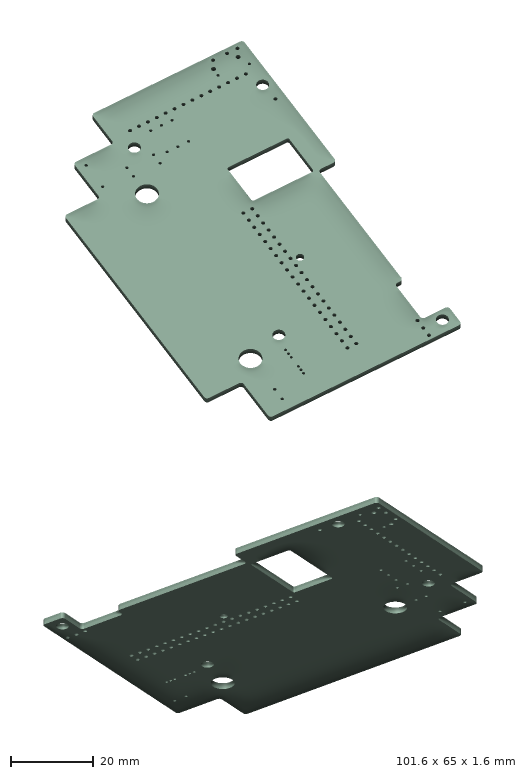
import cadquery as cq

length = 101.6
width = 65.0
thickness = 1.6

left_edge_bottom = 21.8
left_step_x = 10.4
lower_shelf_y = 10.3
tail_left_x = 22.9
tail_right_x = 88.7
upper_left_tab_right_x = 43.4
middle_edge_y = 59.8
notch_left_x = 82.7
notch_floor_y = 57.5
right_tab_left_x = 95.3
corner_radius = 0.8

window_left_x = 31.2
window_right_x = 43.1
window_bottom_y = 41.2
window_top_y = 58.8
window_radius = 0.5

fine_pin = 0.75
small_pin = 0.8
header_pin = 1.0
wide_pin = 1.2
locator = 2.0
screw = 3.1
large = 5.8

pitch = 2.5

double_row_start_x = 45.0
double_row_bottom_y = 37.5
double_row_count = 20

column_x = 9.1
column_bottom_y = 27.2
column_count = 14

tab_row_start_x = 95.1
tab_row_y = 56.4
tab_row_pitch = 2.6
tab_row_count = 3

fine_row_y = 24.4
fine_row_count = 3
left_fine_start_x = 86.0
left_fine_pitch = 1.3
right_fine_start_x = 91.8
right_fine_pitch = 1.2

screw_centres = [(14.1, 62.0), (98.0, 61.7), (14.1, 25.4), (81.2, 25.4)]
large_centres = [(27.7, 20.6), (83.7, 15.7)]
locator_centres = [(63.7, 42.2)]

connector_post_centres = [(3.8, 54.4), (3.8, 61.4)]
connector_edge_centres = [(1.4, 55.7), (1.4, 59.6), (1.4, 62.6)]
connector_inner_centres = [(6.0, 54.3), (7.0, 62.6)]

lone_pin_centres = [(19.4, 62.4)]

six_lead_xs = [11.8, 19.4]
six_lead_ys = [31.5, 34.5, 37.6]
four_lead_xs = [18.4, 21.4]
four_lead_ys = [20.6, 28.2]
left_pair_xs = [12.6, 20.2]
left_pair_ys = [12.6]
right_pair_xs = [94.8, 98.2]
right_pair_ys = [15.8]


def row(start_x, y, spacing, count):
    """Centres of evenly spaced holes along X."""
    return [(start_x + i * spacing, y) for i in range(count)]


def column(x, start_y, spacing, count):
    """Centres of evenly spaced holes along Y."""
    return [(x, start_y + i * spacing) for i in range(count)]


def grid(xs, ys):
    """Centres at every crossing of the given X and Y places."""
    return [(x, y) for x in xs for y in ys]


def make_plate():
    """Stepped board outline with every corner rounded."""
    outline = [
        (tail_left_x, 0),
        (tail_right_x, 0),
        (tail_right_x, lower_shelf_y),
        (length, lower_shelf_y),
        (length, width),
        (right_tab_left_x, width),
        (right_tab_left_x, notch_floor_y),
        (notch_left_x, notch_floor_y),
        (notch_left_x, middle_edge_y),
        (upper_left_tab_right_x, middle_edge_y),
        (upper_left_tab_right_x, width),
        (0, width),
        (0, left_edge_bottom),
        (left_step_x, left_edge_bottom),
        (left_step_x, lower_shelf_y),
        (tail_left_x, lower_shelf_y),
    ]
    plate = cq.Workplane("XY").polyline(outline).close().extrude(thickness)
    return plate.edges("|Z").fillet(corner_radius)


def make_window():
    """Rounded rectangular cutter for the window."""
    window_length = window_right_x - window_left_x
    window_width = window_top_y - window_bottom_y
    return (
        cq.Workplane("XY")
        .rect(window_length, window_width, centered=False)
        .extrude(thickness)
        .translate((window_left_x, window_bottom_y, 0))
        .edges("|Z")
        .fillet(window_radius)
    )


def make_holes(diameter, centres):
    """Round cutters of one diameter through the board."""
    return cq.Workplane("XY").pushPoints(centres).circle(diameter / 2).extrude(thickness)


double_row_top_y = double_row_bottom_y + pitch

hole_groups = [
    (screw, screw_centres),
    (large, large_centres),
    (locator, locator_centres),
    (header_pin, row(double_row_start_x, double_row_bottom_y, pitch, double_row_count)),
    (header_pin, row(double_row_start_x, double_row_top_y, pitch, double_row_count)),
    (header_pin, column(column_x, column_bottom_y, pitch, column_count)),
    (header_pin, row(tab_row_start_x, tab_row_y, tab_row_pitch, tab_row_count)),
    (header_pin, lone_pin_centres),
    (wide_pin, connector_post_centres),
    (header_pin, connector_edge_centres),
    (small_pin, connector_inner_centres),
    (small_pin, grid(six_lead_xs, six_lead_ys)),
    (small_pin, grid(four_lead_xs, four_lead_ys)),
    (small_pin, grid(left_pair_xs, left_pair_ys)),
    (small_pin, grid(right_pair_xs, right_pair_ys)),
    (fine_pin, row(left_fine_start_x, fine_row_y, left_fine_pitch, fine_row_count)),
    (fine_pin, row(right_fine_start_x, fine_row_y, right_fine_pitch, fine_row_count)),
]

board = make_plate().cut(make_window())
for hole_diameter, hole_centres in hole_groups:
    board = board.cut(make_holes(hole_diameter, hole_centres))

result = board